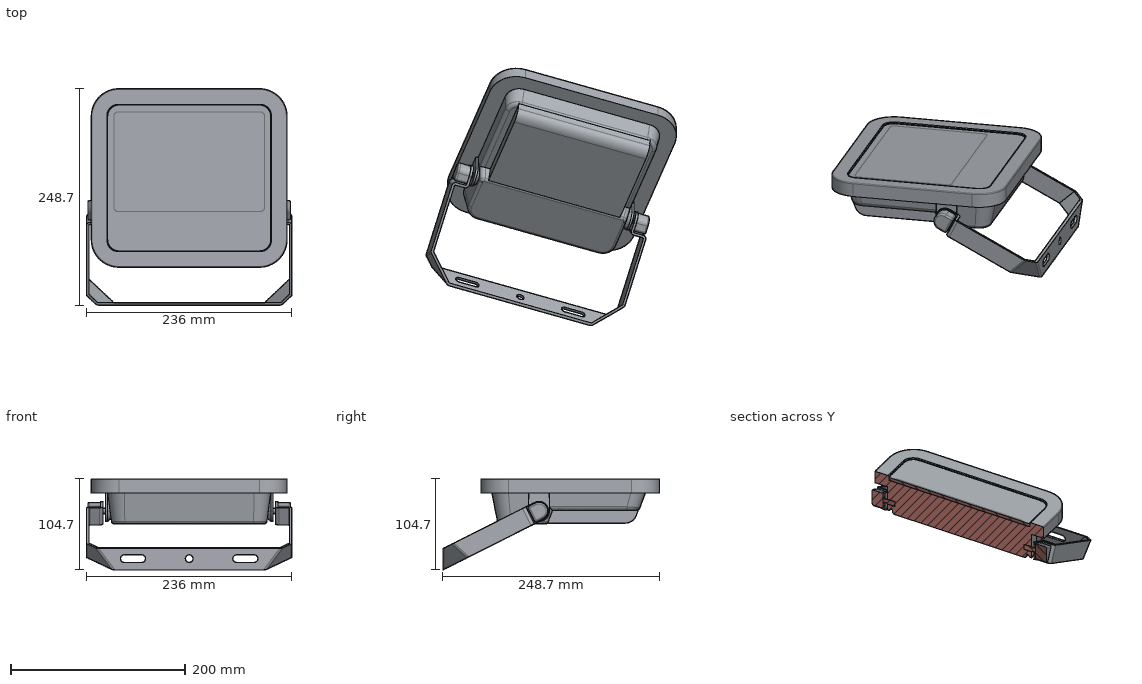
import cadquery as cq
import math


RIM_WIDTH = 225.0
RIM_LENGTH = 205.2
RIM_HEIGHT = 16.5
RIM_CORNER_RADIUS = 32.0
RIM_EDGE_FILLET = 1.0

RIM_BAND = 19.0
GLASS_CORNER_RADIUS = 12.5
GLASS_RECESS = 2.0
OPENING_CHAMFER = 1.0
GLASS_THICKNESS = 4.0
GLASS_WIDTH = RIM_WIDTH - 2 * RIM_BAND
GLASS_LENGTH = RIM_LENGTH - 2 * RIM_BAND
WINDOW_WIDTH = 173.0
WINDOW_LENGTH = 114.5
WINDOW_TO_RIM = 26.7
WINDOW_CORNER_RADIUS = 5.0

TUB_HALF_WIDTH = 93.5
TUB_BACK_INSET = 16.2
TUB_FRONT_INSET = 12.8
TUB_BACK_Y = RIM_LENGTH / 2 - TUB_BACK_INSET
TUB_FRONT_Y = -RIM_LENGTH / 2 + TUB_FRONT_INSET
TUB_FRONT_CORNER_RADIUS = 19.0
TUB_BACK_CORNER_RADIUS = 17.0
TUB_CORNER_SHRINKAGE = 4.0
SIDE_DRAFT = 7.5
BACK_DRAFT = 20.5
FRONT_DRAFT = 11.0
TUB_BOTTOM_Z = -51.8
TUB_EDGE_FILLET = 3.5
STEP_EDGE_FILLET = 5.0

STEP_Z = -36.4
STEP_FRONT_Y = -20.2
STEP_WALL_LEAN = 21.0
BLOCK_HALF_WIDTH = 80.0
BLOCK_BOTTOM_Z = -51.0
BLOCK_BACK_RADIUS = 14.0
BLOCK_SETBACK = 0.8

PIVOT_FROM_BACK = 138.4
PIVOT_Y = RIM_LENGTH / 2 - PIVOT_FROM_BACK
PIVOT_Z = -36.9
BOSS_FACE_X = 96.2
BOSS_RADIUS = 12.0
BOSS_PLATE_THICKNESS = 2.5
BOSS_BACK_TAPER = 40.0
SCREW_DIAMETER = 6.5
SCREW_HOLE_DIAMETER = 6.7
SCREW_DEPTH = 10.0

OVERALL_LENGTH = 248.71
BRACKET_HALF_WIDTH = 118.0
BRACKET_REACH = OVERALL_LENGTH - PIVOT_FROM_BACK
BRACKET_TILT = 26.7
STRIP_THICKNESS = 3.0
STRIP_HALF_WIDTH = 11.0
CORNER_CUT_UPPER = 12.0
CORNER_CUT_LOWER = 30.5
CORNER_CUT_RATIO = 1.06
CORNER_BEND_RADIUS = 3.0
TAB_INNER_X = 98.8
WALL_DISTANCE = 11.3
BEND_OUTER_RADIUS = 4.2
BEND_INNER_RADIUS = BEND_OUTER_RADIUS - STRIP_THICKNESS
MOUNT_HOLE_DIAMETER = 8.5
MOUNT_SLOT_LENGTH = 28.5
MOUNT_SLOT_X = 64.5

CAP_RADIUS = 10.0
CAP_FLAT_DISTANCE = 9.8
CAP_FACE_X = 116.3
CAP_EDGE_FILLET = 2.0
CAP_CORNER_FILLET = 2.0

TILT = math.radians(BRACKET_TILT)
ALONG_ARM = (0, -math.cos(TILT), -math.sin(TILT))
ACROSS_ARM = (0, -math.sin(TILT), math.cos(TILT))
TAB_OUTER_X = TAB_INNER_X + STRIP_THICKNESS
BASE_Y = PIVOT_Y - BRACKET_REACH
BASE_Z = PIVOT_Z - BRACKET_REACH * math.tan(TILT)


def mirrored(body):
    return body.mirror("YZ")


def rounded_block(width, length, radius, top_z, height):
    return (
        cq.Workplane("XY", origin=(0, 0, top_z - height))
        .rect(width, length)
        .extrude(height)
        .edges("|Z")
        .fillet(radius)
    )


def tub_section(z, corner_shrinkage):
    """Rounded rectangle between the drafted tub walls at height z."""
    depth = -RIM_HEIGHT - z
    half_width = TUB_HALF_WIDTH - depth * math.tan(math.radians(SIDE_DRAFT))
    back = TUB_BACK_Y - depth * math.tan(math.radians(BACK_DRAFT))
    front = TUB_FRONT_Y + depth * math.tan(math.radians(FRONT_DRAFT))
    outline = cq.Sketch().rect(2 * half_width, back - front)
    outline = outline.vertices(">Y").fillet(TUB_BACK_CORNER_RADIUS - corner_shrinkage).reset()
    outline = outline.vertices("<Y").fillet(TUB_FRONT_CORNER_RADIUS - corner_shrinkage).reset()
    return outline.moved(cq.Location(cq.Vector(0, (back + front) / 2, z)))


def drafted_tub():
    return cq.Workplane("XY").placeSketch(
        tub_section(-RIM_HEIGHT, 0),
        tub_section(TUB_BOTTOM_Z, TUB_CORNER_SHRINKAGE),
    ).loft()


def rear_step():
    """Space taken out of the tub's rear, bounded by a level ceiling and a leaning wall."""
    drop = STEP_Z - TUB_BOTTOM_Z
    wall_foot_y = STEP_FRONT_Y - drop * math.tan(math.radians(STEP_WALL_LEAN))
    return (
        cq.Workplane("YZ")
        .polyline([
            (STEP_FRONT_Y, STEP_Z),
            (RIM_LENGTH, STEP_Z),
            (RIM_LENGTH, TUB_BOTTOM_Z),
            (wall_foot_y, TUB_BOTTOM_Z),
        ])
        .close()
        .extrude(RIM_WIDTH, both=True)
    )


def rear_block():
    """Narrower block that fills most of the rear step, rounded at its back."""
    draft = math.tan(math.radians(BACK_DRAFT))
    top_z = STEP_Z + STEP_EDGE_FILLET
    top_back_y = TUB_BACK_Y - (-RIM_HEIGHT - top_z) * draft - BLOCK_SETBACK
    bottom_back_y = top_back_y - (top_z - BLOCK_BOTTOM_Z) * draft
    block = (
        cq.Workplane("YZ")
        .polyline([
            (PIVOT_Y, top_z),
            (top_back_y, top_z),
            (bottom_back_y, BLOCK_BOTTOM_Z),
            (PIVOT_Y, BLOCK_BOTTOM_Z),
        ])
        .close()
        .extrude(BLOCK_HALF_WIDTH, both=True)
    )
    return block.faces("<Z").edges(">Y").fillet(BLOCK_BACK_RADIUS)


def boss_outline(outer_x, top_z):
    """Boss outline on the -X side: straight down from top_z and rounded about the pivot."""
    return (
        cq.Workplane("YZ", origin=(-outer_x, PIVOT_Y, 0))
        .moveTo(-BOSS_RADIUS, top_z)
        .lineTo(-BOSS_RADIUS, PIVOT_Z)
        .threePointArc((0, PIVOT_Z - BOSS_RADIUS), (BOSS_RADIUS, PIVOT_Z))
        .lineTo(BOSS_RADIUS, top_z)
        .close()
    )


def pivot_boss():
    """Flat plate under the rim that takes the screw, joined to the tub by a shrinking back."""
    back_x = BOSS_FACE_X - BOSS_PLATE_THICKNESS
    plate = boss_outline(BOSS_FACE_X, -RIM_HEIGHT).extrude(BOSS_PLATE_THICKNESS)
    back_depth = BOSS_RADIUS / 2
    back = boss_outline(back_x, -RIM_HEIGHT / 2).extrude(back_depth, taper=BOSS_BACK_TAPER)
    return plate.union(back)


def pivot_cylinder(diameter, outer_x, inner_x):
    """Cylinder on the pivot axis of the -X side."""
    return (
        cq.Workplane("YZ", origin=(-outer_x, PIVOT_Y, PIVOT_Z))
        .circle(diameter / 2)
        .extrude(outer_x - inner_x)
    )


def make_screw():
    return pivot_cylinder(SCREW_DIAMETER, TAB_OUTER_X, BOSS_FACE_X - SCREW_DEPTH)


def make_glass():
    top_z = -GLASS_RECESS
    glass = rounded_block(GLASS_WIDTH, GLASS_LENGTH, GLASS_CORNER_RADIUS, top_z, GLASS_THICKNESS)
    window_y = RIM_LENGTH / 2 - WINDOW_TO_RIM - WINDOW_LENGTH / 2
    window = rounded_block(
        WINDOW_WIDTH, WINDOW_LENGTH, WINDOW_CORNER_RADIUS, top_z, GLASS_THICKNESS / 2
    ).translate((0, window_y, 0))
    return glass.cut(window).union(window, clean=False)


def make_rim():
    """Rim block with rounded top edge and a chamfered pocket for the glass."""
    rim = rounded_block(RIM_WIDTH, RIM_LENGTH, RIM_CORNER_RADIUS, 0, RIM_HEIGHT)
    rim = rim.faces(">Z").edges().fillet(RIM_EDGE_FILLET)
    pocket_depth = GLASS_RECESS + GLASS_THICKNESS
    rim = rim.cut(rounded_block(GLASS_WIDTH, GLASS_LENGTH, GLASS_CORNER_RADIUS, 0, pocket_depth))
    opening = rim.faces(">Z").wires(cq.selectors.AreaNthSelector(0))
    return opening.toPending().edges().chamfer(OPENING_CHAMFER)


def make_tub():
    """Drafted tub with its rear stepped up, rounded along the step and the bottom."""
    tub = drafted_tub().cut(rear_step())
    lean = math.radians(STEP_WALL_LEAN)
    wall_normal = cq.Vector(0, math.cos(lean), -math.sin(lean))
    wall_sides = tub.faces(cq.selectors.ParallelDirSelector(wall_normal)).edges("not |X")
    step_rim = tub.faces("|Z").faces(">Z[-2]").edges("not <Y")
    tub = step_rim.add(wall_sides).fillet(STEP_EDGE_FILLET)
    return tub.faces("<Z").edges().fillet(TUB_EDGE_FILLET)


def make_housing():
    housing = make_rim().union(make_tub()).union(rear_block())
    for boss in (pivot_boss(), mirrored(pivot_boss())):
        housing = housing.union(boss)
    for screw in (make_screw(), mirrored(make_screw())):
        housing = housing.cut(screw)
    return housing


def bracket_envelope(inset):
    """Block whose side, base and slanting corner faces lie `inset` inside the bracket's outside."""
    half_width = BRACKET_HALF_WIDTH - inset
    base_y = BASE_Y + inset
    size = 2 * BRACKET_HALF_WIDTH
    block = cq.Workplane("XY").box(2 * half_width, size, 2 * size)
    block = block.translate((0, base_y + size / 2, BASE_Z))
    strip_height = 2 * STRIP_HALF_WIDTH / math.cos(TILT)
    z_slope = (CORNER_CUT_LOWER - CORNER_CUT_UPPER) / strip_height
    normal = cq.Vector(1, CORNER_CUT_RATIO - z_slope * math.tan(TILT), z_slope).normalized()
    corner_point = cq.Vector(
        -BRACKET_HALF_WIDTH + CORNER_CUT_UPPER, BASE_Y, BASE_Z + strip_height / 2
    )
    corner_plane = cq.Plane(
        origin=corner_point + normal * inset,
        xDir=(normal.y, -normal.x, 0),
        normal=-normal,
    )
    waste = cq.Workplane(corner_plane).rect(size, size).extrude(size)
    return block.cut(waste).cut(mirrored(waste))


def along_arm_plane():
    """Plane with its local x along the arm, its local y along X, through the pivot axis."""
    return cq.Plane(origin=(0, PIVOT_Y, PIVOT_Z), xDir=ALONG_ARM, normal=ACROSS_ARM)


def arms_and_base():
    far = 2 * BRACKET_REACH
    start = WALL_DISTANCE + BEND_OUTER_RADIUS
    strip_slab = (
        cq.Workplane(along_arm_plane())
        .center((start + far) / 2, 0)
        .rect(far - start, 4 * BRACKET_HALF_WIDTH)
        .extrude(STRIP_HALF_WIDTH, both=True)
    )
    shell = bracket_envelope(0).cut(bracket_envelope(STRIP_THICKNESS))
    strip = shell.intersect(strip_slab)
    base_bends = strip.faces("<Y").edges("not |X")
    arm_bends = strip.faces("<X or >X").edges("<Y")
    return base_bends.add(arm_bends).fillet(CORNER_BEND_RADIUS)


def joggle():
    """End of the -X arm: bent inward along a wall, then on to a tab rounded about the pivot."""
    arm_start = WALL_DISTANCE + BEND_OUTER_RADIUS
    wall_far = WALL_DISTANCE + STRIP_THICKNESS
    arm_outer_x = -BRACKET_HALF_WIDTH
    arm_inner_x = arm_outer_x + STRIP_THICKNESS
    outer, inner = BEND_OUTER_RADIUS, BEND_INNER_RADIUS
    strip = (
        cq.Workplane(along_arm_plane())
        .moveTo(0, -TAB_OUTER_X)
        .lineTo(WALL_DISTANCE - inner, -TAB_OUTER_X)
        .radiusArc((WALL_DISTANCE, -TAB_OUTER_X - inner), inner)
        .lineTo(WALL_DISTANCE, arm_outer_x + outer)
        .radiusArc((WALL_DISTANCE + outer, arm_outer_x), -outer)
        .lineTo(arm_start, arm_inner_x)
        .radiusArc((wall_far, arm_inner_x + inner), inner)
        .lineTo(wall_far, -TAB_INNER_X - outer)
        .radiusArc((wall_far - outer, -TAB_INNER_X), -outer)
        .lineTo(0, -TAB_INNER_X)
        .close()
        .extrude(STRIP_HALF_WIDTH, both=True)
    )
    tab_end = pivot_cylinder(2 * STRIP_HALF_WIDTH, TAB_OUTER_X, TAB_INNER_X)
    hole = pivot_cylinder(SCREW_HOLE_DIAMETER, TAB_OUTER_X, TAB_INNER_X)
    return strip.union(tab_end).cut(hole)


def mounting_holes():
    middle_z = BASE_Z + STRIP_THICKNESS / 2 * math.tan(TILT)
    plane = cq.Workplane("XZ", origin=(0, BASE_Y, middle_z))
    slots = plane.pushPoints([(-MOUNT_SLOT_X, 0), (MOUNT_SLOT_X, 0)])
    slots = slots.slot2D(MOUNT_SLOT_LENGTH, MOUNT_HOLE_DIAMETER).extrude(STRIP_THICKNESS, both=True)
    return slots.union(plane.circle(MOUNT_HOLE_DIAMETER / 2).extrude(STRIP_THICKNESS, both=True))


def make_bracket():
    bracket = arms_and_base().cut(mounting_holes())
    return bracket.union(joggle()).union(mirrored(joggle()))


def make_cap():
    """D-shaped cap in the hollow of the -X joggle, covering the screw."""
    plane = cq.Plane(origin=(-TAB_OUTER_X, PIVOT_Y, PIVOT_Z), xDir=ALONG_ARM, normal=(-1, 0, 0))
    cap = (
        cq.Workplane(plane)
        .moveTo(0, CAP_RADIUS)
        .lineTo(CAP_FLAT_DISTANCE, CAP_RADIUS)
        .lineTo(CAP_FLAT_DISTANCE, -CAP_RADIUS)
        .lineTo(0, -CAP_RADIUS)
        .threePointArc((-CAP_RADIUS, 0), (0, CAP_RADIUS))
        .close()
        .extrude(CAP_FACE_X - TAB_OUTER_X)
    )
    flat = cap.faces(cq.selectors.DirectionMinMaxSelector(cq.Vector(ALONG_ARM)))
    cap = flat.edges("|X").fillet(CAP_CORNER_FILLET)
    return cap.faces("<X").edges().fillet(CAP_EDGE_FILLET)


housing = make_housing()
glass = make_glass()
bracket = make_bracket()
screws = [make_screw(), mirrored(make_screw())]
caps = [make_cap(), mirrored(make_cap())]

result = cq.Compound.makeCompound(
    [body.val() for body in (housing, glass, bracket, *screws, *caps)]
)